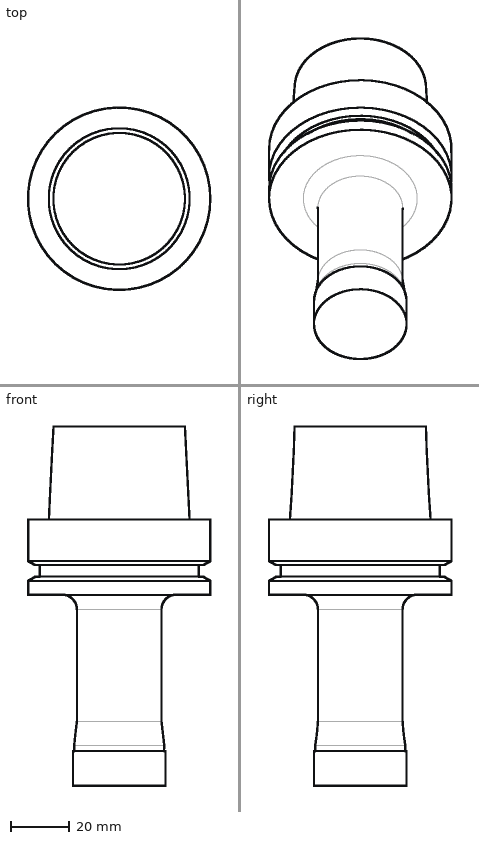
import cadquery as cq
import math

cutter_diameter = 32.0
cutter_height = 12.0

nose_lower_diameter = 31.0
nose_rim_diameter = 31.15
nose_rim_height = 2.0
nose_taper_length = 8.2

shaft_diameter = 29.29
shaft_fillet = 5.0

flange_diameter = 62.94
flange_thickness = 26.0
lower_rim_thickness = 4.8
upper_rim_thickness = 14.4
groove_mouth_diameter = 58.0
groove_neck_diameter = 54.95
groove_flank_angle = 30.0

shank_length = 32.0
shank_top_diameter = 45.4
shank_taper = 0.1
overall_height = 123.9

shank_base_diameter = shank_top_diameter + shank_taper * shank_length
flange_top = overall_height - shank_length
flange_bottom = flange_top - flange_thickness
nose_rim_z = cutter_height + nose_rim_height
nose_top = nose_rim_z + nose_taper_length

flank_depth = (flange_diameter - groove_mouth_diameter) / 2
flank_height = flank_depth * math.tan(math.radians(groove_flank_angle))
lower_rim_top = flange_bottom + lower_rim_thickness
upper_rim_bottom = flange_top - upper_rim_thickness
groove_floor = lower_rim_top + flank_height
groove_ceiling = upper_rim_bottom - flank_height

shaft_radius = shaft_diameter / 2
flange_radius = flange_diameter / 2
mouth_radius = groove_mouth_diameter / 2
neck_radius = groove_neck_diameter / 2


def make_cutter():
    """Solid disc standing on the Z = 0 plane."""
    return cq.Workplane("XY").circle(cutter_diameter / 2).extrude(cutter_height)


def make_holder():
    """Nose, shaft, grooved flange and shank cone, revolved as one half profile."""
    profile = (
        cq.Workplane("XZ")
        .moveTo(0, cutter_height)
        .lineTo(nose_lower_diameter / 2, cutter_height)
        .lineTo(nose_rim_diameter / 2, nose_rim_z)
        .lineTo(shaft_radius, nose_top)
        .lineTo(shaft_radius, flange_bottom - shaft_fillet)
        .radiusArc((shaft_radius + shaft_fillet, flange_bottom), shaft_fillet)
        .lineTo(flange_radius, flange_bottom)
        .lineTo(flange_radius, lower_rim_top)
        .lineTo(mouth_radius, groove_floor)
        .lineTo(neck_radius, groove_floor)
        .lineTo(neck_radius, groove_ceiling)
        .lineTo(mouth_radius, groove_ceiling)
        .lineTo(flange_radius, upper_rim_bottom)
        .lineTo(flange_radius, flange_top)
        .lineTo(shank_base_diameter / 2, flange_top)
        .lineTo(shank_top_diameter / 2, overall_height)
        .lineTo(0, overall_height)
        .close()
    )
    return profile.revolve(360, (0, 0, 0), (0, 1, 0))


cutter = make_cutter()
holder = make_holder()

result = cq.Compound.makeCompound([cutter.val(), holder.val()])